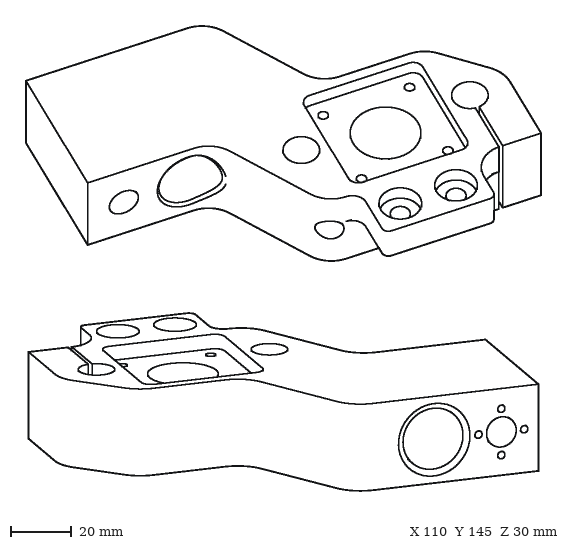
import cadquery as cq
import math

thickness = 30.0
length_y = 145.0
mid_z = thickness / 2

body_left = 40.0
body_right = 90.0
motor_x = (body_left + body_right) / 2
motor_y = 100.25
motor_bore = 23.2
motor_pocket = 42.5
motor_pocket_radius = 3.5
motor_pocket_depth = 5.0
motor_screw_pitch = 31.0
motor_screw_hole = 3.4

rod_hole = 12.0
rod_offset = 30.25
slit_width = 1.3
set_screw_hole = 8.5

ear_right = 110.0
ear_thickness = 12.0
ear_y = 100.0
ear_half_width = 20.0
ear_bottom = ear_y - ear_half_width
ear_top = ear_y + ear_half_width
ear_corner_radius = 2.3
ear_upper_fillet = 10.0
ear_lower_fillet = 5.0
ear_hole_x = 100.0
ear_hole_offset = 10.0
ear_hole = 6.6
ear_counterbore = 14.0
ear_counterbore_depth = 5.0

foot_width = 50.0
outline_radius = 12.0
corner_cut = 20.0
neck_slope = math.tan(math.radians(30))
neck_left_foot_y = 64.8
neck_left_body_y = neck_left_foot_y + body_left * neck_slope
neck_right_body_y = ear_bottom - ear_lower_fillet - outline_radius * neck_slope
neck_right_foot_y = neck_right_body_y - (body_right - foot_width) * neck_slope

cross_y = 36.5
cross_bore = 21.0
countersink_width = 2.0
countersink_depth = 1.15
exit_chamfer = 1.0
small_bore_y = 13.0
small_bore = 10.4
tapped_hole = 2.5
tapped_offset = 8.0
tapped_depth = 8.0

pick_margin = 1.0


def cylinder_z(x, y, diameter, z_from, z_to):
    return cq.Workplane("XY", origin=(x, y, z_from)).circle(diameter / 2).extrude(z_to - z_from)


def cylinder_x(y, z, diameter, x_from, x_to):
    return cq.Workplane("YZ", origin=(x_from, y, z)).circle(diameter / 2).extrude(x_to - x_from)


def round_vertical_edge(body, x, y):
    picker = cq.selectors.BoxSelector(
        (x - pick_margin, y - pick_margin, 0),
        (x + pick_margin, y + pick_margin, thickness),
    )
    return body.edges("|Z").edges(picker).fillet(outline_radius)


def make_body():
    neck_right = [(foot_width, neck_right_foot_y), (body_right, neck_right_body_y)]
    upper_left = [(body_left + corner_cut, length_y), (body_left, length_y - corner_cut)]
    neck_left = [(body_left, neck_left_body_y), (0, neck_left_foot_y)]
    outline = [(0, 0), (foot_width, 0)] + neck_right + [(body_right, length_y)] + upper_left + neck_left
    body = cq.Workplane("XY").polyline(outline).close().extrude(thickness)
    for x, y in neck_right + upper_left + neck_left:
        body = round_vertical_edge(body, x, y)
    return body


def make_ear():
    inner_x = body_right - ear_lower_fillet
    ear = (
        cq.Workplane("XY", origin=(0, 0, thickness - ear_thickness))
        .moveTo(inner_x, ear_bottom - ear_lower_fillet)
        .lineTo(body_right, ear_bottom - ear_lower_fillet)
        .radiusArc((body_right + ear_lower_fillet, ear_bottom), ear_lower_fillet)
        .lineTo(ear_right, ear_bottom)
        .lineTo(ear_right, ear_top)
        .lineTo(body_right + ear_upper_fillet, ear_top)
        .radiusArc((body_right, ear_top + ear_upper_fillet), ear_upper_fillet)
        .lineTo(inner_x, ear_top + ear_upper_fillet)
        .close()
        .extrude(ear_thickness)
    )
    return ear.edges("|Z and >X").fillet(ear_corner_radius)


def cut_motor_mount(part):
    pocket = (
        cq.Workplane("XY", origin=(motor_x, motor_y, thickness - motor_pocket_depth))
        .rect(motor_pocket, motor_pocket)
        .extrude(motor_pocket_depth)
        .edges("|Z")
        .fillet(motor_pocket_radius)
    )
    part = part.cut(pocket).cut(cylinder_z(motor_x, motor_y, motor_bore, 0, thickness))
    for side_x in (-1, 1):
        for side_y in (-1, 1):
            x = motor_x + side_x * motor_screw_pitch / 2
            y = motor_y + side_y * motor_screw_pitch / 2
            part = part.cut(cylinder_z(x, y, motor_screw_hole, 0, thickness))
    return part


def cut_rod_holes(part):
    upper_y = motor_y + rod_offset
    lower_y = motor_y - rod_offset
    for y in (lower_y, upper_y):
        part = part.cut(cylinder_z(motor_x, y, rod_hole, 0, thickness))
    slit = cq.Workplane("XY").box(body_right - motor_x, slit_width, thickness, centered=(False, True, False))
    part = part.cut(slit.translate((motor_x, upper_y, 0)))
    return part.cut(cylinder_x(lower_y, mid_z, set_screw_hole, motor_x, body_right))


def cut_ear_holes(part):
    counterbore_floor = thickness - ear_counterbore_depth
    for side in (-1, 1):
        y = ear_y + side * ear_hole_offset
        part = part.cut(cylinder_z(ear_hole_x, y, ear_hole, 0, thickness))
        part = part.cut(cylinder_z(ear_hole_x, y, ear_counterbore, counterbore_floor, thickness))
    return part


def cut_cross_bore(part):
    bore_radius = cross_bore / 2
    part = part.cut(cylinder_x(cross_y, mid_z, cross_bore, 0, body_right))
    exit_rim = cq.selectors.BoxSelector(
        (foot_width - pick_margin, cross_y - bore_radius - pick_margin, mid_z - bore_radius - pick_margin),
        (body_right, cross_y + bore_radius + pick_margin, mid_z + bore_radius + pick_margin),
        boundingbox=True,
    )
    part = part.edges(exit_rim).chamfer(exit_chamfer)
    countersink = cq.Solid.makeCone(
        bore_radius + countersink_width,
        bore_radius,
        countersink_depth,
        pnt=cq.Vector(0, cross_y, mid_z),
        dir=cq.Vector(1, 0, 0),
    )
    return part.cut(cq.Workplane(countersink))


def cut_small_foot_holes(part):
    part = part.cut(cylinder_x(small_bore_y, mid_z, small_bore, 0, foot_width))
    for dy, dz in ((1, 0), (-1, 0), (0, 1), (0, -1)):
        y = small_bore_y + dy * tapped_offset
        z = mid_z + dz * tapped_offset
        part = part.cut(cylinder_x(y, z, tapped_hole, 0, tapped_depth))
    return part


result = make_body().union(make_ear())
result = cut_motor_mount(result)
result = cut_rod_holes(result)
result = cut_ear_holes(result)
result = cut_cross_bore(result)
result = cut_small_foot_holes(result)